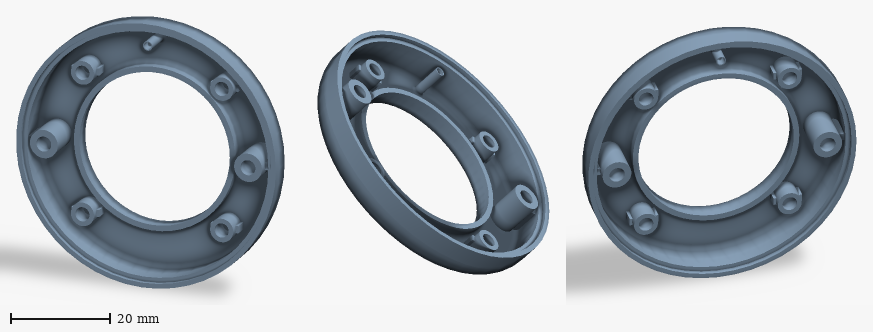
import cadquery as cq

outer_diameter = 56.0
depth = 10.0
outer_round = 6.0
bore_diameter = 32.4
bore_edge_round = 2.0
collar_diameter = 34.8
cavity_diameter = 52.0
lip_diameter = 54.0
lip_depth = 1.0
floor_thickness = 2.0
collar_height = 3.0
inner_fillet = 1.0

tall_boss_diameter = 6.0
tall_boss_spacing = 44.0
tall_boss_hole = 3.2
wall_web_width = 1.5
wall_web_recess = 2.0
wall_web_overlap = 0.15

short_boss_diameter = 5.0
short_boss_hole = 3.0
short_boss_spacing = 30.0
short_boss_z_shift = -0.15
short_boss_recess = 3.5
tab_span = 6.0
tab_width = 1.5
tab_recess = 5.1

pin_position = 23.0
pin_diameter = 2.0
pin_bore = 1.6
pin_hole = 0.6
pin_recess = 1.0
pin_fillet = 0.5

front_y = -depth / 2
back_y = depth / 2
floor_y = back_y - floor_thickness
selection_margin = 0.05


def cylinder(diameter, x, z, start_y, end_y):
    """Cylinder along Y between two Y positions."""
    return (
        cq.Workplane("XZ", origin=(x, start_y, z))
        .circle(diameter / 2)
        .extrude(start_y - end_y)
    )


def block(x_size, z_size, x, z, start_y, end_y):
    """Rectangular block centred on (x, z) between two Y positions."""
    return (
        cq.Workplane("XZ", origin=(x, start_y, z))
        .rect(x_size, z_size)
        .extrude(start_y - end_y)
    )


def make_shell():
    """Rounded ring with a filleted cavity, stepped lip and collar around the bore."""
    body = cylinder(outer_diameter, 0, 0, front_y, back_y)
    body = body.faces(">Y").edges().fillet(outer_round)

    cavity = cylinder(cavity_diameter, 0, 0, front_y, floor_y)
    cavity = cavity.faces(">Y").edges().fillet(inner_fillet)
    lip = cylinder(lip_diameter, 0, 0, front_y, front_y + lip_depth)
    body = body.cut(cavity).cut(lip)

    collar = cylinder(collar_diameter, 0, 0, floor_y - collar_height, back_y)
    body = body.union(collar)
    collar_root = cq.selectors.BoxSelector(
        (-collar_diameter, floor_y - selection_margin, -collar_diameter),
        (collar_diameter, floor_y + selection_margin, collar_diameter),
    )
    smallest_circle = cq.selectors.RadiusNthSelector(0)
    body = body.edges(collar_root).edges(smallest_circle).fillet(inner_fillet)

    body = body.cut(cylinder(bore_diameter, 0, 0, front_y, back_y))
    return body.faces(">Y").edges(smallest_circle).fillet(bore_edge_round)


def add_tall_bosses(body):
    """Blind-drilled bosses on the X axis with webs reaching the outer wall."""
    web_y = front_y + wall_web_recess
    wall_x = cavity_diameter / 2 + wall_web_overlap
    for side in (-1, 1):
        boss_x = tall_boss_spacing / 2
        web = block(wall_x - boss_x, wall_web_width, side * (wall_x + boss_x) / 2, 0, web_y, floor_y)
        boss = cylinder(tall_boss_diameter, side * boss_x, 0, front_y, floor_y)
        hole = cylinder(tall_boss_hole, side * boss_x, 0, front_y, floor_y)
        body = body.union(web).union(boss).cut(hole)
    return body


def add_short_bosses(body):
    """Four blind-drilled bosses, each with a tab on its left and right."""
    face_y = front_y + short_boss_recess
    for x_side in (-1, 1):
        for z_side in (-1, 1):
            x = x_side * short_boss_spacing / 2
            z = z_side * short_boss_spacing / 2 + short_boss_z_shift
            boss = cylinder(short_boss_diameter, x, z, face_y, floor_y)
            tabs = block(tab_span, tab_width, x, z, front_y + tab_recess, floor_y)
            hole = cylinder(short_boss_hole, x, z, face_y, floor_y)
            body = body.union(boss).union(tabs).cut(hole)
    return body


def add_pin(body):
    """Hollow pin with a filleted root and a fine hole through the floor."""
    face_y = front_y + pin_recess
    root = cylinder(pin_diameter + 2 * pin_fillet, 0, pin_position, floor_y - pin_fillet, floor_y)
    pin = cylinder(pin_diameter, 0, pin_position, face_y, floor_y)
    cove_radius = pin_diameter / 2 + pin_fillet
    cove = (
        cq.Workplane("XY", origin=(0, 0, pin_position))
        .center(cove_radius, floor_y - pin_fillet)
        .circle(pin_fillet)
        .revolve(360, (-cove_radius, 0), (-cove_radius, 1))
    )
    bore = cylinder(pin_bore, 0, pin_position, face_y, floor_y)
    hole = cylinder(pin_hole, 0, pin_position, face_y, back_y)
    return body.union(root.cut(cove)).union(pin).cut(bore).cut(hole)


result = add_pin(add_short_bosses(add_tall_bosses(make_shell())))